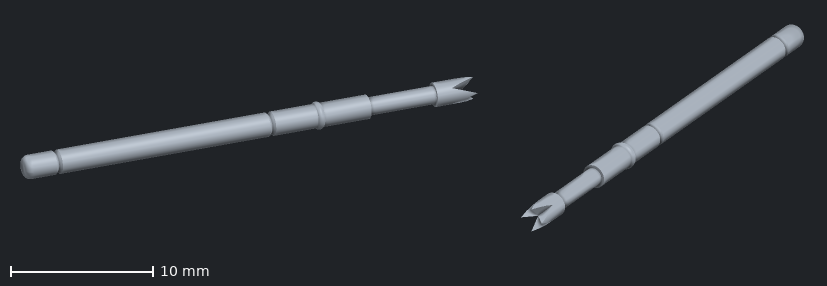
import cadquery as cq
import math


TOTAL_LENGTH = 34.0
HEAD_LENGTH = 3.0
SHAFT_LENGTH = 5.0
BARREL_LENGTH = TOTAL_LENGTH - HEAD_LENGTH - SHAFT_LENGTH

BARREL_RADIUS = 0.87
HEAD_RADIUS = BARREL_RADIUS
SHAFT_RADIUS = 0.65
TAIL_ROUND = 0.5

RING_RADIUS = 1.0
RING_WIDTH = 0.5
RING_CENTER = 22.25

GROOVE_CENTERS = (2.5, 18.6)
GROOVE_WIDTH = 0.4
GROOVE_DEPTH = 0.2

TOOTH_COUNT = 4
RIDGE_ANGLE = 45.0
NOTCH_DEPTH = 1.85


def cylinder(radius, start, length):
    """Solid cylinder on the Y axis from Y = start to Y = start + length."""
    return cq.Workplane("XZ", origin=(0, start, 0)).circle(radius).extrude(-length)


def revolve_about_axis(profile):
    """Turn a closed profile, drawn with X as the radius, about the Y axis."""
    return profile.revolve(360, (0, 0, 0), (0, 1, 0))


def make_barrel():
    barrel = cylinder(BARREL_RADIUS, 0, BARREL_LENGTH)
    return barrel.faces("<Y").edges().fillet(TAIL_ROUND)


def make_press_ring():
    """Bead with a circular-arc outside that rests on the barrel surface."""
    half_width = RING_WIDTH / 2
    profile = (
        cq.Workplane("XY")
        .moveTo(0, RING_CENTER - half_width)
        .lineTo(BARREL_RADIUS, RING_CENTER - half_width)
        .threePointArc((RING_RADIUS, RING_CENTER), (BARREL_RADIUS, RING_CENTER + half_width))
        .lineTo(0, RING_CENTER + half_width)
        .close()
    )
    return revolve_about_axis(profile)


def make_groove_cutter(center):
    half_width = GROOVE_WIDTH / 2
    profile = cq.Workplane("XY").polyline(
        [
            (BARREL_RADIUS, center - half_width),
            (BARREL_RADIUS - GROOVE_DEPTH, center),
            (BARREL_RADIUS, center + half_width),
        ]
    ).close()
    return revolve_about_axis(profile)


def make_tooth():
    """Roof-shaped wedge on the +X side, with its ridge falling from the outer tip towards the axis."""
    ridge_slope = math.tan(math.radians(RIDGE_ANGLE))
    notch_offset = HEAD_RADIUS * math.cos(math.pi / TOOTH_COUNT)
    notch_side = HEAD_RADIUS * math.sin(math.pi / TOOTH_COUNT)
    ridge_fall_at_notch = (HEAD_RADIUS - notch_offset) * ridge_slope
    flank_slope = (NOTCH_DEPTH - ridge_fall_at_notch) / notch_side

    roof_height = HEAD_LENGTH
    roof_half_width = roof_height / (flank_slope * math.cos(math.radians(RIDGE_ANGLE)))
    ridge_direction = cq.Vector(1, ridge_slope, 0)
    section_plane = cq.Plane(origin=(HEAD_RADIUS, TOTAL_LENGTH, 0), xDir=(0, 0, -1), normal=ridge_direction)
    return (
        cq.Workplane(section_plane)
        .polyline([(0, 0), (roof_half_width, -roof_height), (-roof_half_width, -roof_height)])
        .close()
        .extrude(TOTAL_LENGTH, both=True)
    )


def make_crown():
    """Head cylinder cut down to four pointed teeth."""
    tooth = make_tooth()
    teeth = tooth
    for index in range(1, TOOTH_COUNT):
        turned = tooth.rotate((0, 0, 0), (0, 1, 0), index * 360 / TOOTH_COUNT)
        teeth = teeth.union(turned)
    head_start = TOTAL_LENGTH - HEAD_LENGTH
    head = cylinder(HEAD_RADIUS, head_start, HEAD_LENGTH).intersect(teeth)
    solid_collar = cylinder(HEAD_RADIUS, head_start, HEAD_LENGTH - NOTCH_DEPTH)
    return head.union(solid_collar)


barrel = make_barrel().union(make_press_ring())
for groove_center in GROOVE_CENTERS:
    barrel = barrel.cut(make_groove_cutter(groove_center))

shaft = cylinder(SHAFT_RADIUS, BARREL_LENGTH, SHAFT_LENGTH)

result = barrel.union(shaft).union(make_crown())